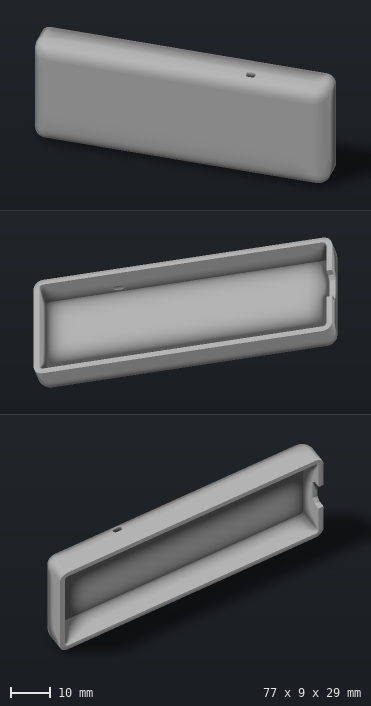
import cadquery as cq

length = 77.0
depth = 9.0
height = 29.0
corner_radius = 2.5
front_edge_radius = 4.0
wall = 1.5

notch_depth = 3.0
notch_height = 8.2
notch_corner = 1.0

slot_length = 2.5
slot_width = 1.5
slot_corner = 0.6
slot_from_right = 20.4
slot_from_front = 3.0

back_y = depth / 2
front_y = -depth / 2
left_x = -length / 2
top_z = height / 2


def outer_body():
    """Block with rounded corners and a larger rounding around its front face."""
    block = cq.Workplane("XY").box(length, depth, height)
    return block.edges("|Y").fillet(corner_radius).faces("<Y").edges().fillet(front_edge_radius)


def cavity():
    """Square-edged pocket that leaves an even wall on every side but the back."""
    pocket = cq.Workplane("XY").box(length - 2 * wall, depth - wall, height - 2 * wall)
    pocket = pocket.edges("|Y").fillet(corner_radius - wall)
    return pocket.translate((0, wall / 2, 0))


def cable_notch():
    """Cutter for the left wall, open at the back, with its two inner corners bevelled."""
    cutter = cq.Workplane("XY").box(2 * wall, 2 * notch_depth, notch_height)
    cutter = cutter.edges("|X and <Y").chamfer(notch_corner)
    return cutter.translate((left_x, back_y, 0))


def top_slot():
    """Cutter for the small rounded opening in the top wall."""
    cutter = cq.Workplane("XY").box(slot_length, slot_width, 2 * wall)
    cutter = cutter.edges("|Z").fillet(slot_corner)
    return cutter.translate((length / 2 - slot_from_right, front_y + slot_from_front, top_z))


result = outer_body().cut(cavity()).cut(cable_notch()).cut(top_slot())